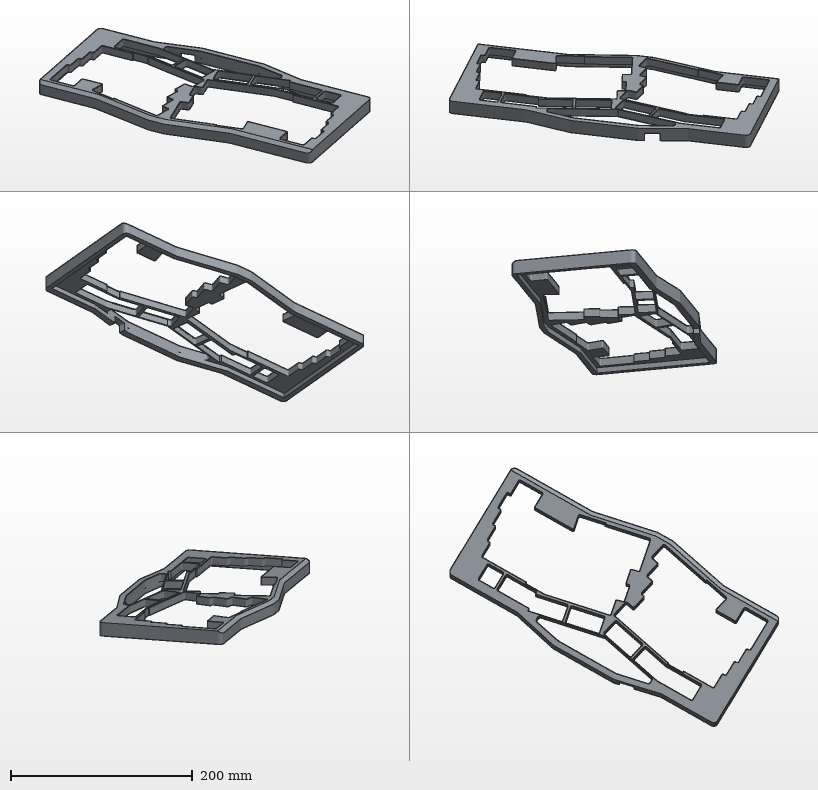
import cadquery as cq
import math

length = 340.5
width = 169.5
height = 15.3
half_length = length / 2
half_width = width / 2
key_tilt = math.radians(12)
back_tilt = math.radians(13)
back_shoulder = 72.5
front_shoulder = -69.0
back_middle = -9.5
back_flat = 77.0
front_middle = -14.3
front_flat = 19.8
corner_radius = 5.0
bend_radius = 8.5
chamfer_depth = 5.5
chamfer_drop = 3.0

recess_depth = 6.0
side_wall = 5.5
back_wall = 7.0
front_wall = 5.5

key_corner_radius = 1.6
rim_chamfer = 0.4
pitch = 19.0
clearance = 0.58
stagger = 4.25
rows = 5
stair_steps = 3
outer_key_top = 37.0
left_key_top = 18.0
right_key_top = 24.2
first_row_end = 148.0
raised_top = 39.5
raised_outer = 109.7
left_bend = -96.7
raised_outer_right = 90.5
left_row_ends = (-15.3, -26.2, -21.0, -12.0, -1.7)
right_row_ends = (-3.0, -12.3, -7.5, -17.5, -17.5)
thumb_drop = 1.5
left_thumb = (-94.0, -64.0)
right_thumb = (35.5, 66.0)
block_top = outer_key_top - (rows - 1) * pitch - clearance
opening_bottom = outer_key_top - rows * pitch - clearance
left_block_end = -130.8
right_block_end = 126.5

upper_top = 62.0
upper_bottom = 41.2
upper_depth = 20.0
left_upper_top = 42.0
right_upper_top = 48.5
left_pair = (-61.3, -21.0)
right_pair = (2.5, 41.5)
bar = 3.5
upper_left_end = -134.5
right_bend_top = 84.5
right_bend_bottom = 83.0
upper_right_end = 114.0
single_key = (117.5, 138.0)

window_wall = 1.2
window_top = 77.5
window_middle = -10.0
window_flat = 73.0
window_ends = (-84.5, 59.5)
window_radius = 3.0

slot_width = 17.0
slot_height = 9.2
slot_radius = 1.6
slot_x = -62.7
slot_depth = 10.2


def tilted(along, across, angle):
    """Point given along and across a frame turned about the origin."""
    x = along * math.cos(angle) - across * math.sin(angle)
    y = along * math.sin(angle) + across * math.cos(angle)
    return (x, y)


def left(along, across):
    return tilted(along, across, -key_tilt)


def right(along, across):
    return tilted(along, across, key_tilt)


def lengthwise_at_y(across, y, angle):
    """Point at the given Y on the line that runs along a tilted frame."""
    return tilted((y - across * math.cos(angle)) / math.sin(angle), across, angle)


def lengthwise_at_x(across, x, angle):
    """Point at the given X on the line that runs along a tilted frame."""
    return tilted((x + across * math.sin(angle)) / math.cos(angle), across, angle)


def crosswise_at_y(along, y, angle):
    """Point at the given Y on the line that runs across a tilted frame."""
    return tilted(along, (y - along * math.sin(angle)) / math.cos(angle), angle)


def prism(points, rise=height):
    return cq.Workplane("XY").polyline(points).close().extrude(rise)


def key_prism(points):
    """Prism with rounded corners, except where a side is too short to hold the rounding."""
    rounded = []
    for index, point in enumerate(points):
        before = points[index - 1]
        after = points[(index + 1) % len(points)]
        if min(math.dist(before, point), math.dist(point, after)) > 2 * key_corner_radius:
            rounded.append(point)
    return prism(points).edges(upright_edges_at(rounded)).fillet(key_corner_radius)


def upright_edges_at(points):
    """Selector for the upright edges through the given outline points."""
    reach = 0.17
    selector = None
    for x, y in points:
        box = cq.selectors.BoxSelector((x - reach, y - reach, 0), (x + reach, y + reach, height))
        selector = box if selector is None else selector + box
    return selector


def bent_edge(middle, flat, slope, flat_y, shoulder):
    """Four bends, from left to right, of an edge whose middle is offset from its shoulders."""
    half = flat / 2
    run = abs(flat_y - shoulder) / math.tan(slope)
    return [
        (middle - half - run, shoulder),
        (middle - half, flat_y),
        (middle + half, flat_y),
        (middle + half + run, shoulder),
    ]


def frame():
    front_bends = bent_edge(front_middle, front_flat, key_tilt, -half_width, front_shoulder)
    back_bends = bent_edge(back_middle, back_flat, back_tilt, half_width, back_shoulder)
    front_corners = [(-half_length, front_shoulder), (half_length, front_shoulder)]
    back_corners = [(half_length, back_shoulder), (-half_length, back_shoulder)]
    body = prism([*front_bends, front_corners[1], back_corners[0], *reversed(back_bends), back_corners[1],
                  front_corners[0]])
    body = body.edges(upright_edges_at(front_bends)).fillet(bend_radius)
    margin = 3.5
    front_rim = cq.selectors.BoxSelector(
        (-half_length + margin, -half_width - margin, height - margin / 2),
        (half_length - margin, front_shoulder + margin, height + margin / 2),
    )
    body = body.edges(front_rim).chamfer(chamfer_drop, chamfer_depth)
    return body.edges(upright_edges_at(front_corners + back_corners)).fillet(corner_radius)


def recess():
    end = half_length - side_wall
    front_y = front_shoulder + front_wall
    back_y = back_shoulder - back_wall
    inner_flat = front_flat - 2 * front_wall * math.tan(key_tilt / 2)
    front_bends = bent_edge(front_middle, inner_flat, key_tilt, front_wall - half_width, front_y)
    back_bends = bent_edge(window_middle, window_flat, key_tilt, window_top, back_y)
    outline = [(-end, front_y), *front_bends, (end, front_y), (end, back_y), *reversed(back_bends), (-end, back_y)]
    return prism(outline, recess_depth)


def row_profile(ends, top, frame_point, toward_middle):
    """Stepped inner side of an opening; at each step the wider row takes the clearance."""
    points = [frame_point(ends[0], top + clearance)]
    for row in range(1, rows):
        upper_end = ends[row - 1]
        lower_end = ends[row]
        if upper_end == lower_end:
            continue
        widens = (lower_end - upper_end) * toward_middle > 0
        boundary = top - row * pitch + (clearance if widens else -clearance)
        points += [frame_point(upper_end, boundary), frame_point(lower_end, boundary)]
    return points + [frame_point(ends[-1], top - rows * pitch - clearance)]


def outer_stairs(side):
    """Outer side of an opening, widening by one stagger per row on the way down."""
    end = side * first_row_end
    points = [(end, outer_key_top + clearance)]
    for row in range(1, stair_steps + 1):
        boundary = outer_key_top - row * pitch + clearance
        points.append((end, boundary))
        end += side * stagger
        points.append((end, boundary))
    return points


def left_main_opening():
    bottom = left_key_top - rows * pitch - clearance
    stairs = outer_stairs(-1)
    end = stairs[-1][0]
    points = row_profile(left_row_ends, left_key_top, left, 1)
    points += [
        left(left_thumb[1], bottom),
        left(left_thumb[1], bottom - thumb_drop),
        left(left_thumb[0], bottom - thumb_drop),
        crosswise_at_y(left_thumb[0], block_top, -key_tilt),
        (left_block_end, block_top),
        (left_block_end, opening_bottom),
        (end, opening_bottom),
    ]
    points += reversed(stairs)
    points += [
        (-raised_outer, outer_key_top + clearance),
        (-raised_outer, raised_top),
        crosswise_at_y(left_bend, raised_top, -key_tilt),
        left(left_bend, left_key_top + clearance),
    ]
    return key_prism(points)


def right_main_opening():
    bottom = right_key_top - rows * pitch - clearance
    stairs = outer_stairs(1)
    end = stairs[-1][0]
    points = row_profile(right_row_ends, right_key_top, right, -1)
    points += [
        right(right_thumb[0], bottom),
        right(right_thumb[0], bottom - thumb_drop),
        right(right_thumb[1], bottom - thumb_drop),
        crosswise_at_y(right_thumb[1], block_top, key_tilt),
        (right_block_end, block_top),
        (right_block_end, opening_bottom),
        (end - stagger, opening_bottom),
        (end - stagger, block_top),
        (end, block_top),
    ]
    points += reversed(stairs)
    points += [
        (raised_outer_right, outer_key_top + clearance),
        (raised_outer_right, raised_top),
        lengthwise_at_y(right_key_top + clearance, raised_top, key_tilt),
    ]
    return key_prism(points)


def upper_openings():
    left_bottom = left_upper_top - upper_depth
    right_bottom = right_upper_top - upper_depth
    left_outer = [
        (upper_left_end, upper_bottom),
        (upper_left_end, upper_top),
        lengthwise_at_y(left_upper_top, upper_top, -key_tilt),
        left(left_pair[0] - bar, left_upper_top),
        left(left_pair[0] - bar, left_bottom),
        lengthwise_at_y(left_bottom, upper_bottom, -key_tilt),
    ]
    left_inner = [left(along, across) for along, across in corners_of(left_pair, left_bottom, left_upper_top)]
    right_inner = [right(along, across) for along, across in corners_of(right_pair, right_bottom, right_upper_top)]
    right_outer = [
        right(right_pair[1] + bar, right_bottom),
        right(right_pair[1] + bar, right_upper_top),
        right(right_bend_top, right_upper_top),
        crosswise_at_y(right_bend_top, upper_top, key_tilt),
        (upper_right_end, upper_top),
        (upper_right_end, upper_bottom),
        crosswise_at_y(right_bend_bottom, upper_bottom, key_tilt),
        right(right_bend_bottom, right_bottom),
    ]
    single = corners_of(single_key, upper_bottom, upper_top)
    return [key_prism(points) for points in (left_outer, left_inner, right_inner, right_outer, single)]


def corners_of(extent, bottom, top):
    start, end = extent
    return [(start, bottom), (end, bottom), (end, top), (start, top)]


def display_window():
    left_front = left_upper_top + window_wall
    right_front = right_upper_top + window_wall
    left_end, right_end = window_ends
    flat_left = window_middle - window_flat / 2
    flat_right = window_middle + window_flat / 2
    slope = math.tan(key_tilt)
    valley_x = (left_front - right_front) / (2 * math.sin(key_tilt))
    rounded = [
        lengthwise_at_x(left_front, left_end, -key_tilt),
        lengthwise_at_x(right_front, right_end, key_tilt),
        (right_end, window_top - (right_end - flat_right) * slope),
        (left_end, window_top - (flat_left - left_end) * slope),
    ]
    points = [
        rounded[0],
        lengthwise_at_x(left_front, valley_x, -key_tilt),
        rounded[1],
        rounded[2],
        (flat_right, window_top),
        (flat_left, window_top),
        rounded[3],
    ]
    window = prism(points).edges(upright_edges_at(rounded)).fillet(window_radius)
    bends = [(flat_left, window_top), (flat_right, window_top)]
    return window.edges(upright_edges_at(bends)).fillet(bend_radius)


def connector_slot():
    flat_end = back_middle - back_flat / 2
    slot_y = half_width - (flat_end - slot_x) * math.tan(back_tilt)
    slot = cq.Workplane("XY").box(slot_width, 2 * slot_depth, slot_height, centered=(True, True, False))
    slot = slot.edges("|Y and >Z").fillet(slot_radius)
    return slot.rotate((0, 0, 0), (0, 0, 1), math.degrees(back_tilt)).translate((slot_x, slot_y, 0))


def chamfer_rims(body):
    solid = body.val()
    top_face = body.faces(">Z").val()
    rims = [edge for wire in top_face.innerWires() for edge in wire.Edges()]
    return cq.Workplane(solid.chamfer(rim_chamfer, None, rims))


result = frame().cut(recess())
for opening in [left_main_opening(), right_main_opening(), *upper_openings(), display_window()]:
    result = result.cut(opening)
result = chamfer_rims(result).cut(connector_slot())